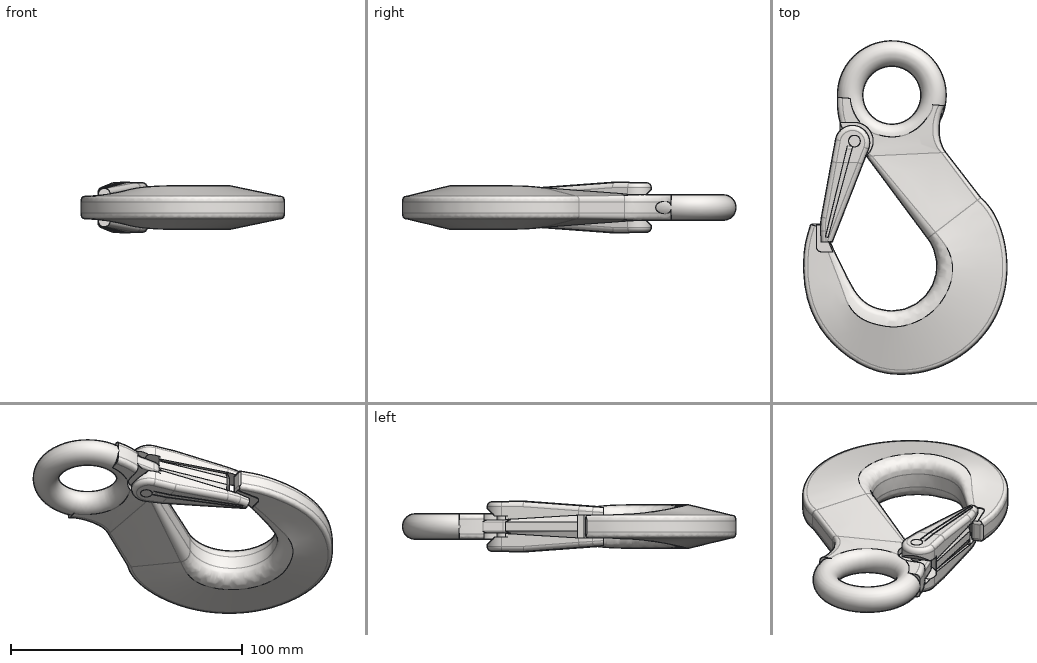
import cadquery as cq
import math


EYE_Y = 73.65
EYE_RING_RADIUS = 18.0
EYE_TUBE_RADIUS = 5.55

RIM_HEIGHT = 4.9
RIM_WALL = 2.5
RIM_WIDTH = 1.9
NECK_RIM_WIDTH = 2.7
NECK_INNER_ROUND = 2.3
INNER_WALL = 3.2
BOWL_RADIUS = 19.5
BOWL_HEIGHT = 9.43
BOWL_ROUND = 6.9
TIP_Y = 18.1
TIP_HEIGHT = 5.2
TIP_CENTER_X = -32.4
TIP_WIDTH = 6.3
TIP_END_ROUND = 1.7

TIP_SECTIONS = [
    ((-30.1, TIP_Y), (-35.0, TIP_Y), TIP_HEIGHT, 1.5),
    ((-26.0, 9.0), (-37.5, 9.0), TIP_HEIGHT, 2.3),
    ((-21.7, 0), (-38.2, 0), 5.3, 3.5),
]
BOWL_SECTIONS = [
    (204, 39.3, 6.2, 4.2),
    (226, 41.3, 7.6, 6.0),
    (248, 43.9, 8.9, 6.8),
    (270, 46.6, BOWL_HEIGHT, BOWL_ROUND),
    (291, 48.0, BOWL_HEIGHT, BOWL_ROUND),
    (312, 49.1, BOWL_HEIGHT, BOWL_ROUND),
    (333, 49.8, BOWL_HEIGHT, BOWL_ROUND),
    (354, 49.8, BOWL_HEIGHT, BOWL_ROUND),
    (376, 49.7, 9.2, 5.8),
]
FOLD_SECTION = (37.5, 48.4, 8.5, 4.3)
SHANK_SECTION = ((-11.0, 47.4), (23.3, 49), 6.0, NECK_INNER_ROUND, 5.2)
NECK_SECTIONS = [
    ((-19.3, 55.5), (20.5, 58.3)),
    ((-22.3, 61.9), (21.0, 64.0)),
    ((-23.5, 72.7), (23, 69.1)),
]

PIVOT = (-16.1, 53.8)
PIN_DIAMETER = 5.0
LUG_RADIUS = 6.3
LUG_HALF_THICKNESS = 2.9
LUG_ROOT_Y = 63.4
LUG_EDGE_ROUND = 1.0
RECESS_RADIUS = 8.0

SEAT_HEIGHT = 4.8
SEAT_LEFT_X = -32.5
SEAT_BOTTOM_Y = 6.0
SEAT_TOP_Y = 20.2
SEAT_WIDTH = 11.5
SEAT_CORNER_RADIUS = 2.2

HEAD_CENTER = (-17.0, 53.1)
HEAD_RADIUS = 7.5
LATCH_KNEE = (-31.0, 18.1)
KNEE_RADIUS = 25.9
LATCH_TIP_LEFT = (-30.5, 10.4)
LATCH_TIP_RIGHT = (-25.6, 10.4)
LATCH_HEIGHT_OVER_RIBS = 22.0
RIB_RISE = 0.3
RIB_TOP = LATCH_HEIGHT_OVER_RIBS / 2
LATCH_HALF_HEIGHT = RIB_TOP - RIB_RISE
LATCH_TIP_HALF_HEIGHT = 8.2
LATCH_BEND_Y = 44.6
LATCH_ROUND = 2.2
HEAD_GAP_RADIUS = 8.5
CHEEK_HEAD_GAP = 4.5
HEAD_FLARE_Y = 57.3
HEAD_FLARE = 4.3
CHEEK_TIP_GAP = 4.9
WEB_TOP_Y = 52.7
WEB_FOOT_Y = 21.6
WEB_END_Y = 18.7
WEB_FOOT_WIDTH = 2.9
WEB_FLAT = 1.9
WEB_TOP_EDGE = 3.0
WEB_GROOVE_DEPTH = 1.2
RIB_START = (-18.0, 51.8)
RIB_RAMP = 1.5
RIB_HEAD_WIDTH = 2.3
RIB_TIP_WIDTH = 1.2
RIB_END = (-28.1, 12.4)

MARGIN = 1.5
TALL = 28.8


def polar(radius, angle):
    """Point at a radius and an angle in degrees around the bowl centre."""
    return (radius * math.cos(math.radians(angle)), radius * math.sin(math.radians(angle)))


def hook_section(inner, outer, inner_height, inner_round, rim_height=RIM_HEIGHT, rim_width=RIM_WIDTH):
    """Closed upright wire: flat inner and outer walls, rounded edges and sloping faces."""
    start = cq.Vector(*inner)
    across = cq.Vector(*outer) - start
    width = across.Length
    across = across.normalized()

    def point(distance, height):
        place = start + across * distance
        return cq.Vector(place.x, place.y, height)

    upper = [
        (0, INNER_WALL), (0, inner_height), (inner_round, inner_height),
        (width - rim_width, rim_height), (width, rim_height), (width, RIM_WALL),
    ]
    top = [point(*place) for place in upper]
    bottom = [point(distance, -height) for distance, height in reversed(upper)]
    edges = []
    for half in (top, bottom):
        edges.append(cq.Edge.makeBezier(half[0:3]))
        edges.append(cq.Edge.makeLine(half[2], half[3]))
        edges.append(cq.Edge.makeBezier(half[3:6]))
    edges.insert(3, cq.Edge.makeLine(top[-1], bottom[0]))
    edges.append(cq.Edge.makeLine(bottom[-1], top[0]))
    return cq.Wire.assembleEdges(edges)


def bowl_section(angle, outer_radius, height, inner_round):
    """Section of the bowl on a ray from its centre."""
    return hook_section(polar(BOWL_RADIUS, angle), polar(outer_radius, angle), height, inner_round)


def make_tip_rounding():
    """Material outside a round-cornered block at the free end of the hook."""
    depth = 2 * TIP_END_ROUND
    block = cq.Workplane().box(TIP_WIDTH, 2 * depth, 2 * TIP_HEIGHT)
    block = block.faces(">Y").edges().fillet(TIP_END_ROUND).translate((0, -depth, 0))
    around = cq.Workplane().box(2 * TIP_WIDTH, 2 * TIP_END_ROUND, TALL)
    return around.cut(block).translate((TIP_CENTER_X, TIP_Y, 0))


def make_bowl():
    """Curved part of the hook, from the free tip round to the start of the shank."""
    sections = [hook_section(*values) for values in TIP_SECTIONS]
    sections += [bowl_section(*values) for values in BOWL_SECTIONS]
    sections.append(bowl_section(*FOLD_SECTION))
    bowl = cq.Workplane(cq.Solid.makeLoft(sections))
    return bowl.cut(make_tip_rounding())


def make_shank_and_neck():
    """Straight shank and the neck that joins it to the eye, cleared for the ring of the eye."""
    shank = cq.Solid.makeLoft([bowl_section(*FOLD_SECTION), hook_section(*SHANK_SECTION)], True)
    neck_shape = (EYE_TUBE_RADIUS, NECK_INNER_ROUND, EYE_TUBE_RADIUS, NECK_RIM_WIDTH)
    neck_sections = [hook_section(*sides, *neck_shape) for sides in NECK_SECTIONS]
    neck = cq.Solid.makeLoft([hook_section(*SHANK_SECTION), *neck_sections])
    eye_space = cq.Workplane().center(0, EYE_Y).circle(EYE_RING_RADIUS).extrude(TALL, both=True)
    return cq.Workplane(shank).union(cq.Workplane(neck)).cut(eye_space)


def make_eye():
    """Round ring at the upper end of the hook."""
    ring = cq.Solid.makeTorus(EYE_RING_RADIUS, EYE_TUBE_RADIUS, cq.Vector(0, EYE_Y, 0))
    return cq.Workplane(ring)


def pivot_cylinder(radius, half_height):
    """Cylinder on the pivot axis."""
    return cq.Workplane().center(*PIVOT).circle(radius).extrude(half_height, both=True)


def pivot_slot(radius):
    """Outline with a round end on the pivot, open toward -X."""
    x, y = PIVOT
    return (
        cq.Workplane()
        .moveTo(x - TALL, y - radius)
        .lineTo(x, y - radius)
        .threePointArc((x + radius, y), (x, y + radius))
        .lineTo(x - TALL, y + radius)
        .close()
    )


def make_lug():
    """Thin plate round the pivot, reaching up into the neck."""
    x, y = PIVOT
    plate = (
        cq.Workplane()
        .moveTo(x - LUG_RADIUS, y)
        .threePointArc((x, y - LUG_RADIUS), (x + LUG_RADIUS, y))
        .lineTo(x + LUG_RADIUS, LUG_ROOT_Y)
        .lineTo(x - LUG_RADIUS, LUG_ROOT_Y)
        .close()
        .extrude(LUG_HALF_THICKNESS, both=True)
    )
    return plate.faces(">Z or <Z").edges().fillet(LUG_EDGE_ROUND)


def mirrored_pair(body):
    """A body together with its mirror image below Z = 0."""
    return body.union(body.mirror("XY"))


def make_recess():
    """Room for the two cheeks of the latch above and below the lug."""
    return mirrored_pair(pivot_slot(RECESS_RADIUS).extrude(TALL).translate((0, 0, LUG_HALF_THICKNESS)))


def make_tip_seat():
    """Flats on the hook tip where the ends of the cheeks lie."""
    seat = (
        cq.Workplane()
        .box(SEAT_WIDTH, SEAT_TOP_Y - SEAT_BOTTOM_Y, TALL, centered=False)
        .edges("|Z and <X and <Y")
        .fillet(SEAT_CORNER_RADIUS)
        .translate((SEAT_LEFT_X, SEAT_BOTTOM_Y, SEAT_HEIGHT))
    )
    return mirrored_pair(seat)


def make_hook():
    """Hook with its eye, the lug for the latch and the hole for the pin."""
    hook = make_bowl().union(make_shank_and_neck()).union(make_eye())
    hook = hook.cut(make_recess()).union(make_lug())
    return hook.cut(make_tip_seat()).cut(pivot_cylinder(PIN_DIAMETER / 2, TALL))


def tangent_point(place, side):
    """Point where a line from a place touches the head circle; side is +1 or -1."""
    dx = place[0] - HEAD_CENTER[0]
    dy = place[1] - HEAD_CENTER[1]
    angle = math.atan2(dy, dx) + side * math.acos(HEAD_RADIUS / math.hypot(dx, dy))
    return (HEAD_CENTER[0] + HEAD_RADIUS * math.cos(angle), HEAD_CENTER[1] + HEAD_RADIUS * math.sin(angle))


def latch_outline():
    """Round head tapering along straight sides to a narrow tip."""
    return (
        cq.Workplane()
        .moveTo(*LATCH_TIP_LEFT)
        .lineTo(*LATCH_KNEE)
        .lineTo(*tangent_point(LATCH_KNEE, -1))
        .threePointArc((HEAD_CENTER[0], HEAD_CENTER[1] + HEAD_RADIUS), tangent_point(LATCH_TIP_RIGHT, 1))
        .lineTo(*LATCH_TIP_RIGHT)
        .close()
    )


def side_prism(points):
    """Prism along X from (Y, Z) points, mirrored about Z = 0."""
    lower = [(y, -z) for y, z in reversed(points)]
    return cq.Workplane("YZ").polyline(points + lower).close().extrude(2 * TALL, both=True)


def make_latch_blank():
    """Solid latch, thinning from the head to the tip, with rounded outer edges."""
    tip_y = LATCH_TIP_LEFT[1]
    top_y = HEAD_CENTER[1] + HEAD_RADIUS + MARGIN
    wedge = side_prism([
        (tip_y, LATCH_TIP_HALF_HEIGHT), (LATCH_BEND_Y, LATCH_HALF_HEIGHT), (top_y, LATCH_HALF_HEIGHT),
    ])
    blank = latch_outline().extrude(TALL, both=True)
    blank = blank.edges(cq.selectors.NearestToPointSelector((*LATCH_KNEE, 0))).fillet(KNEE_RADIUS)
    blank = blank.intersect(wedge)
    return blank.faces(">Z or <Z").edges().fillet(LATCH_ROUND)


def latch_left_x(y):
    """X of the straight left side of the latch at a given Y."""
    top_x, top_y = tangent_point(LATCH_KNEE, -1)
    knee_x, knee_y = LATCH_KNEE
    return knee_x + (top_x - knee_x) * (y - knee_y) / (top_y - knee_y)


def make_head_gap():
    """Space between the cheeks for the lug of the hook."""
    x = PIVOT[0]
    disc = pivot_cylinder(HEAD_GAP_RADIUS, CHEEK_HEAD_GAP)
    above_web = cq.Workplane().box(TALL, TALL, 2 * CHEEK_HEAD_GAP, centered=(True, False, True))
    flare = side_prism([
        (HEAD_FLARE_Y, CHEEK_HEAD_GAP), (HEAD_FLARE_Y + HEAD_FLARE, CHEEK_HEAD_GAP + HEAD_FLARE),
    ])
    return disc.union(above_web.translate((x, WEB_TOP_Y, 0))).union(flare)


def make_tip_gap():
    """Space between the cheeks for the tip of the hook, below the slanted foot of the web."""
    bottom_y = LATCH_TIP_LEFT[1] - MARGIN
    foot_x = latch_left_x(WEB_FOOT_Y)
    return (
        cq.Workplane()
        .polyline([
            (foot_x - MARGIN, bottom_y), (foot_x - MARGIN, WEB_FOOT_Y), (foot_x, WEB_FOOT_Y),
            (foot_x + WEB_FOOT_WIDTH, WEB_END_Y), (PIVOT[0], WEB_END_Y), (PIVOT[0], bottom_y),
        ])
        .close()
        .extrude(CHEEK_TIP_GAP, both=True)
    )


def make_web_groove():
    """Tapering groove between the flat of the web and a cheek."""
    def groove_section(y, edge):
        x = latch_left_x(y)
        corners = [
            (x, y, WEB_FLAT), (x - MARGIN, y, WEB_FLAT),
            (x - MARGIN, y, edge), (x + WEB_GROOVE_DEPTH, y, edge),
        ]
        return cq.Wire.makePolygon([cq.Vector(*corner) for corner in corners], close=True)

    ends = [groove_section(WEB_TOP_Y, WEB_TOP_EDGE), groove_section(WEB_FOOT_Y, CHEEK_TIP_GAP)]
    return cq.Workplane(cq.Solid.makeLoft(ends, True))


def make_rib():
    """Low rib along the outer face of a cheek, narrowing toward the tip."""
    start = cq.Vector(*RIB_START)
    run = cq.Vector(*RIB_END) - start
    sideways = cq.Vector(-run.y, run.x, 0).normalized()
    corners = [
        start + sideways * (RIB_HEAD_WIDTH / 2), start - sideways * (RIB_HEAD_WIDTH / 2),
        start + run - sideways * (RIB_TIP_WIDTH / 2), start + run + sideways * (RIB_TIP_WIDTH / 2),
    ]
    strip = cq.Workplane().polyline([corner.toTuple()[:2] for corner in corners]).close().extrude(TALL)
    start_y, tip_y = RIB_START[1], LATCH_TIP_LEFT[1]
    profile = cq.Workplane("YZ").polyline([
        (start_y, CHEEK_TIP_GAP), (start_y, LATCH_HALF_HEIGHT), (start_y - RIB_RAMP, RIB_TOP),
        (LATCH_BEND_Y, RIB_TOP), (tip_y, LATCH_TIP_HALF_HEIGHT + RIB_RISE), (tip_y, CHEEK_TIP_GAP),
    ])
    profile = profile.close().extrude(2 * TALL, both=True)
    return strip.intersect(profile)


def make_latch():
    """Latch with two ribbed cheeks joined by a web, straddling the lug and the hook tip."""
    latch = make_latch_blank().union(mirrored_pair(make_rib()))
    latch = latch.cut(make_head_gap()).cut(make_tip_gap())
    latch = latch.cut(mirrored_pair(make_web_groove()))
    return latch.cut(pivot_cylinder(PIN_DIAMETER / 2, TALL))


hook = make_hook()
latch = make_latch()
pin = pivot_cylinder(PIN_DIAMETER / 2, LATCH_HALF_HEIGHT)

result = cq.Compound.makeCompound([hook.solids().val(), latch.solids().val(), pin.val()])